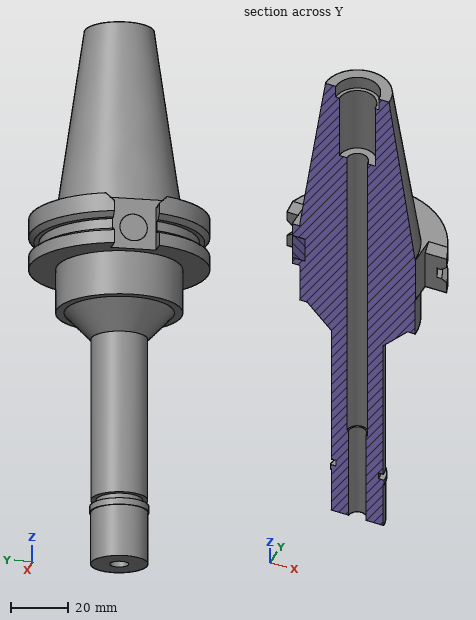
import cadquery as cq

total_height = 195.2

nose_radius = 20.1 / 2
collar_radius = 10.3
collar_bottom = 18.7
collar_top = 21.0
neck_radius = 8.2
shank_bottom = 23.5

shank_radius = 10.0
cone_bottom = 82.4
cone_top = 92.2
cone_top_radius = 19.3
body_radius = 22.3

flange_radius = 63.5 / 2
flange_bottom = 108.0
flange_top = 126.3
groove_radius = 28.1
groove_lip_radius = 29.9
lower_lip_outer = 112.7
lower_lip_inner = 113.8
upper_lip_inner = 118.0
upper_lip_outer = 119.7

taper_bottom = 127.0
taper_top_radius = 12.3

mouth_radius = 8.2
mouth_depth = 4.9
thread_radius = 6.8
thread_depth = 31.2
inner_radius = 4.0
inner_bottom = 39.0
through_radius = 3.3

slot_width = 16.0
slot_chamfer = 3.0
floor_minus_x = 25.0
floor_plus_x = 22.5

plug_radius = 4.9
plug_depth = 4.9
plug_height = 115.8


def make_turned_body():
    """Revolve the outer outline, from the lower end to the top."""
    outline = [
        (0, 0),
        (nose_radius, 0),
        (nose_radius, collar_bottom),
        (collar_radius, collar_bottom),
        (collar_radius, collar_top),
        (neck_radius, collar_top),
        (neck_radius, shank_bottom),
        (shank_radius, shank_bottom),
        (shank_radius, cone_bottom),
        (cone_top_radius, cone_top),
        (body_radius, cone_top),
        (body_radius, flange_bottom),
        (flange_radius, flange_bottom),
        (flange_radius, lower_lip_outer),
        (groove_lip_radius, lower_lip_inner),
        (groove_radius, lower_lip_inner),
        (groove_radius, upper_lip_inner),
        (groove_lip_radius, upper_lip_inner),
        (flange_radius, upper_lip_outer),
        (flange_radius, flange_top),
        (body_radius, flange_top),
        (body_radius, taper_bottom),
        (taper_top_radius, total_height),
        (0, total_height),
    ]
    return cq.Workplane("XZ").polyline(outline).close().revolve(360, (0, 0), (0, 1))


def make_bore():
    """Stepped axial bore that narrows downward."""
    mouth_floor = total_height - mouth_depth
    thread_floor = total_height - thread_depth
    outline = [
        (0, 0),
        (through_radius, 0),
        (through_radius, inner_bottom),
        (inner_radius, inner_bottom),
        (inner_radius, thread_floor),
        (thread_radius, thread_floor),
        (thread_radius, mouth_floor),
        (mouth_radius, mouth_floor),
        (mouth_radius, total_height),
        (0, total_height),
    ]
    return cq.Workplane("XZ").polyline(outline).close().revolve(360, (0, 0), (0, 1))


def make_slot(floor_x, side):
    """Drive slot with chamfered upper edges; side is -1 for -X and +1 for +X."""
    half_width = slot_width / 2
    half_mouth = half_width + slot_chamfer
    section = [
        (-half_width, flange_bottom),
        (half_width, flange_bottom),
        (half_width, flange_top - slot_chamfer),
        (half_mouth, flange_top),
        (-half_mouth, flange_top),
        (-half_width, flange_top - slot_chamfer),
    ]
    floor = cq.Workplane("YZ", origin=(side * floor_x, 0, 0))
    return floor.polyline(section).close().extrude(side * flange_radius)


def make_plug():
    """Cylinder set into the -X slot floor."""
    floor = cq.Workplane("YZ", origin=(-floor_minus_x, 0, plug_height))
    return floor.circle(plug_radius).extrude(plug_depth)


plug = make_plug()
holder = (
    make_turned_body()
    .cut(make_bore())
    .cut(make_slot(floor_minus_x, -1))
    .cut(make_slot(floor_plus_x, 1))
    .cut(plug)
)

result = cq.Compound.makeCompound([holder.val(), plug.val()])